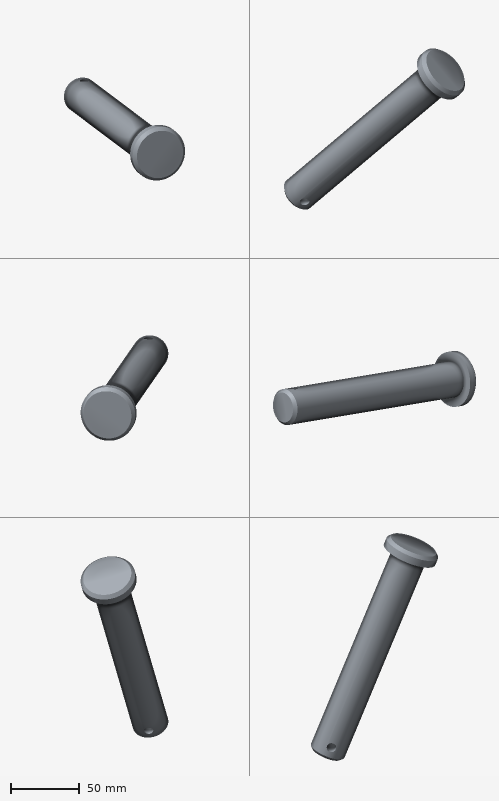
import cadquery as cq

total_length = 173.4
head_diameter = 40.5
head_thickness = 8.0
head_chamfer = 2.5
shank_diameter = 26.5
tip_chamfer = 2.3
hole_diameter = 7.0
hole_from_tip = 9.9

shank_length = total_length - head_thickness


def make_shank():
    shank = cq.Workplane("YZ").circle(shank_diameter / 2).extrude(shank_length)
    return shank.faces("<X").chamfer(tip_chamfer)


def make_head():
    head = cq.Workplane("YZ", origin=(shank_length, 0, 0)).circle(head_diameter / 2).extrude(head_thickness)
    return head.faces(">X").chamfer(head_chamfer)


def make_cotter_hole():
    hole = cq.Workplane("XY").center(hole_from_tip, 0).circle(hole_diameter / 2)
    return hole.extrude(shank_diameter, both=True)


result = make_shank().union(make_head()).cut(make_cotter_hole())